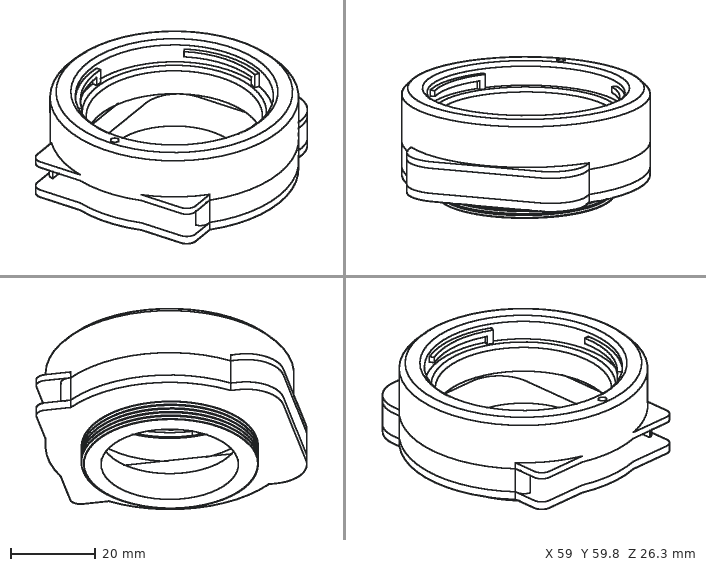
import cadquery as cq
import math

total_height = 26.3
total_depth = 59.8
ring_diameter = 59.0
ring_radius = ring_diameter / 2

plate_bottom = 5.1
plate_top = 7.1
frame_top = 13.3
flange_top = 14.9

half_width = 22.25
back_y = total_depth - ring_radius
plate_front_y = -28.2
frame_front_y = -22.25
front_corner_radius = 2.5
back_corner_radius = 8.95

slot_half_width = 20.1
slot_wall = half_width - slot_half_width
slot_back_y = back_y - slot_wall

base_bore_diameter = 32.6
thread_root_radius = 40.7 / 2
thread_crest_radius = 42.0 / 2
thread_pitch = 1.0
thread_root_width = 0.85
thread_crest_width = 0.1
thread_phase_z = 0.85
thread_embedment = 0.05

outer_chamfer = 1.45
mount_bore_radius = 47.0 / 2
mount_chamfer = 1.1
shelf_z = 20.6
throat_radius = 41.85 / 2
throat_chamfer = 0.95

lug_inner_radius = 22.3
lug_bottom = 22.7
lug_top = 24.15
lug_ends = [(63.5, 116.5), (174.0, 222.5), (-46.0, 4.0)]
stop_span = 4.0

mark_diameter = 2.0
mark_depth = 2.0
mark_tip_angle = 118.0
mark_y = -26.45


def squared_disc(front_y, bottom, top):
    """Rectangle with rounded corners between two heights, merged with the round ring outline."""
    height = top - bottom
    block = (
        cq.Workplane("XY", origin=(0, 0, bottom))
        .center(0, (front_y + back_y) / 2)
        .rect(2 * half_width, back_y - front_y)
        .extrude(height)
    )
    block = block.edges("|Z and <Y").fillet(front_corner_radius)
    block = block.edges("|Z and >Y").fillet(back_corner_radius)
    return block.union(disc(ring_radius, bottom, top))


def disc(radius, bottom, top):
    """Upright cylinder on the part's axis."""
    return cq.Workplane("XY", origin=(0, 0, bottom)).circle(radius).extrude(top - bottom)


def ring_sector(inner, outer, bottom, top, start_angle, end_angle):
    """Piece of an upright tube between two angles, given in degrees."""

    def polar(radius, angle):
        turn = math.radians(angle)
        return (radius * math.cos(turn), radius * math.sin(turn))

    middle = (start_angle + end_angle) / 2
    return (
        cq.Workplane("XY", origin=(0, 0, bottom))
        .moveTo(*polar(inner, start_angle))
        .lineTo(*polar(outer, start_angle))
        .threePointArc(polar(outer, middle), polar(outer, end_angle))
        .lineTo(*polar(inner, end_angle))
        .threePointArc(polar(inner, middle), polar(inner, start_angle))
        .close()
        .extrude(top - bottom)
    )


def make_spigot():
    """Cylinder with a right-handed helical ridge, both trimmed to the height below the base plate."""
    start_z = thread_phase_z - 2 * thread_pitch
    helix_height = plate_bottom - start_z + thread_pitch
    path = cq.Wire.makeHelix(thread_pitch, helix_height, thread_root_radius, center=cq.Vector(0, 0, start_z))

    flank_slope = (thread_root_width - thread_crest_width) / 2 / (thread_crest_radius - thread_root_radius)
    embedded_radius = thread_root_radius - thread_embedment
    embedded_half_width = thread_root_width / 2 + thread_embedment * flank_slope
    crest_half_width = thread_crest_width / 2
    ridge = (
        cq.Workplane("XZ")
        .moveTo(embedded_radius, start_z - embedded_half_width)
        .lineTo(thread_crest_radius, start_z - crest_half_width)
        .lineTo(thread_crest_radius, start_z + crest_half_width)
        .lineTo(embedded_radius, start_z + embedded_half_width)
        .close()
        .sweep(cq.Workplane(obj=path), isFrenet=True)
    )
    core = disc(thread_root_radius, start_z - thread_pitch, plate_bottom + 2 * thread_pitch)
    return core.union(ridge).intersect(disc(ring_radius, 0, plate_bottom))


def make_base():
    """Bottom plate with the threaded spigot below it and a plain bore through both."""
    plate = squared_disc(plate_front_y, plate_bottom, plate_top)
    return plate.union(make_spigot()).cut(disc(base_bore_diameter / 2, 0, plate_top))


def make_frame():
    """U-shaped frame whose slot is open at the front and rounded at the back."""
    frame = squared_disc(frame_front_y, plate_top, frame_top)
    slot_front_y = -total_depth / 2
    slot = (
        cq.Workplane("XY", origin=(0, 0, plate_top))
        .center(0, (slot_front_y + slot_back_y) / 2)
        .rect(2 * slot_half_width, slot_back_y - slot_front_y)
        .extrude(frame_top - plate_top)
        .edges("|Z and >Y")
        .fillet(back_corner_radius)
    )
    return frame.cut(slot)


def make_ring_opening():
    """Stepped opening of the mount ring: mount bore, shelf and throat, both with chamfered rims."""
    return (
        cq.Workplane("XZ")
        .moveTo(0, frame_top)
        .lineTo(throat_radius, frame_top)
        .lineTo(throat_radius, shelf_z - throat_chamfer)
        .lineTo(throat_radius + throat_chamfer, shelf_z)
        .lineTo(mount_bore_radius, shelf_z)
        .lineTo(mount_bore_radius, total_height - mount_chamfer)
        .lineTo(mount_bore_radius + mount_chamfer, total_height)
        .lineTo(0, total_height)
        .close()
        .revolve(360, (0, 0, 0), (0, 1, 0))
    )


def make_lug(start, end):
    """Bayonet lug between two angles, with a rotation stop at its first end reaching down to the shelf."""
    embedded_radius = mount_bore_radius + mount_chamfer
    lug = ring_sector(lug_inner_radius, embedded_radius, lug_bottom, lug_top, start, end)
    stop = ring_sector(lug_inner_radius, embedded_radius, shelf_z, lug_top, start, start + stop_span)
    return lug.union(stop)


def make_mark_hole():
    """Blind drilled hole with a conical tip, revolved about its own upright axis."""
    radius = mark_diameter / 2
    tip_depth = mark_depth + radius / math.tan(math.radians(mark_tip_angle / 2))
    return (
        cq.Workplane("XZ", origin=(0, mark_y, total_height))
        .lineTo(radius, 0)
        .lineTo(radius, -mark_depth)
        .lineTo(0, -tip_depth)
        .close()
        .revolve(360, (0, 0, 0), (0, 1, 0))
    )


def make_mount():
    """Mount ring with its square flange, bayonet lugs and alignment mark."""
    ring = disc(ring_radius, frame_top, total_height).faces(">Z").edges().chamfer(outer_chamfer)
    mount = squared_disc(plate_front_y, frame_top, flange_top).union(ring).cut(make_ring_opening())

    for start, end in lug_ends:
        mount = mount.union(make_lug(start, end))
    return mount.cut(make_mark_hole())


base = make_base()
frame = make_frame()
mount = make_mount()

result = cq.Compound.makeCompound([base.val(), frame.val(), mount.val()])